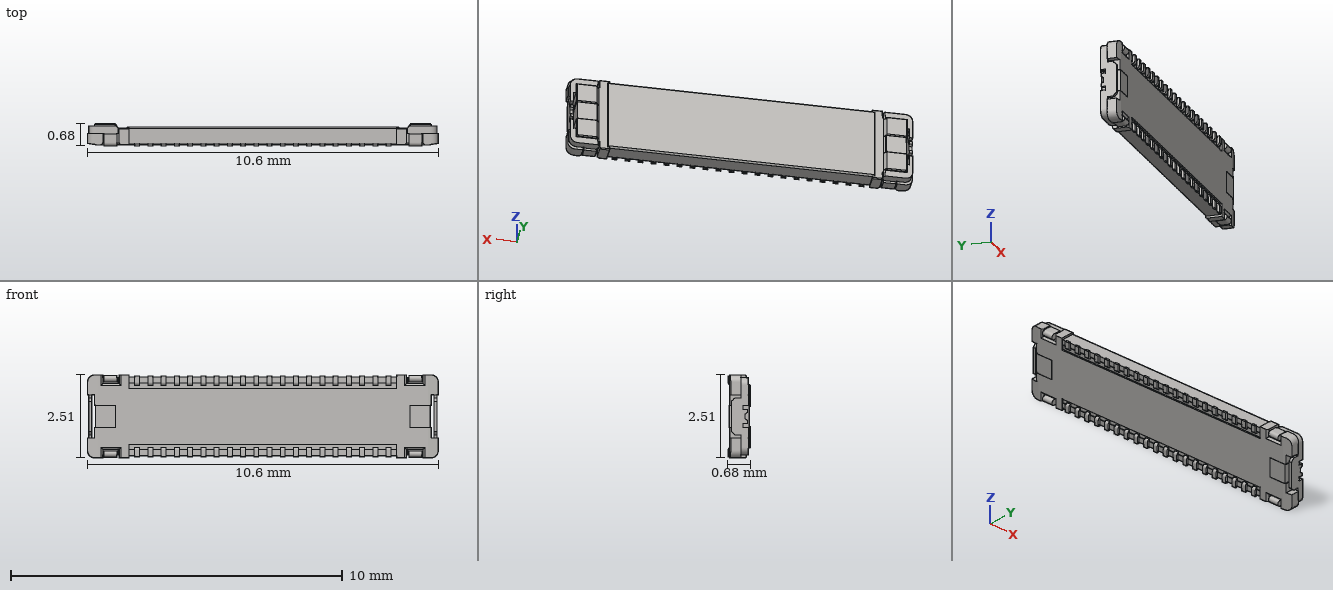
import cadquery as cq

LENGTH = 10.6
HEIGHT = 2.51
BACK_Y = 0.34
MOUNT_Y = -BACK_Y
HALF_LENGTH = LENGTH / 2
HALF_HEIGHT = HEIGHT / 2

FRONT_Y = -0.305
CORE_HALF_LENGTH = 4.14
CORE_BACK_Y = 0.24
CORE_CHAMFER = 0.05
SHOULDER_INNER_X = 4.04
SHOULDER_OUTER_X = 4.37
SHOULDER_BACK_Y = 0.21
SHOULDER_CHAMFER = 0.03
LEDGE_Y = 0.045
END_RADIUS = 0.22
SLOPE_START_X = 4.99
SLOPE_DROP = 0.045

RAIL_HALF_HEIGHT = 1.19
RAIL_INNER_Z = 1.006
RAIL_FRONT_Y = -0.27
GROOVE_INNER_Z = 0.847
GROOVE_FLOOR_Y = -0.25

CONTACTS_PER_ROW = 20
CONTACT_PITCH = 0.4
CONTACT_WIDTH = 0.15
CONTACT_INNER_Z = 0.936
CONTACT_OUTER_Z = 1.225
CONTACT_BACK_Y = -0.2
CONTACT_RADIUS = 0.09

STRIP_INSET = 0.035
STRIP_OUTER_X = HALF_LENGTH - STRIP_INSET
STRIP_THICKNESS = 0.1
FITTING_INNER_X = SHOULDER_OUTER_X
FITTING_HALF_HEIGHT = 1.168
FITTING_RADIUS = 0.225
FITTING_BACK_Y = 0.27
TONGUE_HALF_HEIGHT = 0.56
TONGUE_FRONT_Y = -0.245
TONGUE_CHAMFER = 0.11
PAD_OUTER_X = 5.09
PAD_INNER_X = 4.46
PAD_INNER_Z = 0.30
PAD_OUTER_Z = 0.958
PAD_CHAMFER = 0.03

NOTCH_DEEP_Y = 0.11
NOTCH_DEEP_INNER_Z = 0.21
NOTCH_SHELF_Y = 0.245
NOTCH_SHELF_INNER_Z = 0.12
NOTCH_DIP_Y = 0.175
NOTCH_DIP_HALF_HEIGHT = 0.07

SLOT_OUTER_X = STRIP_OUTER_X - STRIP_THICKNESS
SLOT_INNER_X = PAD_OUTER_X
SLOT_HALF_HEIGHT = 0.652

TAB_HALF_HEIGHT = 0.335
TAB_OUTER_X = 5.06
TAB_LENGTH = 0.61
TAB_RELIEF = 0.005
TAB_BACK_Y = 0.30

LEG_INNER_X = 4.41
LEG_OUTER_X = 4.80
LEG_INNER_Z = 1.04
LEG_THICKNESS = 0.2
LEG_SHOULDER_Y = 0.02
POCKET_INNER_X = 4.345
POCKET_OUTER_X = 4.83
POCKET_INNER_Z = 1.0
POCKET_CHAMFER = 0.065


def box(x0, x1, y0, y1, z0, z1):
    """Axis-aligned block between two corners."""
    size = (x1 - x0, y1 - y0, z1 - z0)
    return cq.Workplane("XY").box(*size, centered=False).translate((x0, y0, z0))


def band(x0, x1, y0, y1, half_height):
    """Block centred on Z = 0."""
    return box(x0, x1, y0, y1, -half_height, half_height)


def prism_along_z(points, half_height):
    """XY outline extruded symmetrically about Z = 0."""
    return cq.Workplane("XY").polyline(points).close().extrude(half_height, both=True)


def prism_along_x(points, x0, x1):
    """YZ outline extruded from x0 to x1."""
    return cq.Workplane("YZ").workplane(offset=x0).polyline(points).close().extrude(x1 - x0)


def with_mirror(shape, plane):
    return shape.union(shape.mirror(plane))


def make_core():
    """Contact section with a chamfered back and a stepped groove along each row."""
    core = band(-CORE_HALF_LENGTH, CORE_HALF_LENGTH, FRONT_Y, CORE_BACK_Y, RAIL_HALF_HEIGHT)
    core = core.faces(">Y").edges().chamfer(CORE_CHAMFER)
    x = SHOULDER_INNER_X
    rail_cut = box(-x, x, MOUNT_Y, RAIL_FRONT_Y, GROOVE_INNER_Z, HALF_HEIGHT)
    groove = box(-x, x, MOUNT_Y, GROOVE_FLOOR_Y, GROOVE_INNER_Z, RAIL_INNER_Z)
    return core.cut(with_mirror(rail_cut.union(groove), "XY"))


def make_contacts():
    """Two rows of solder feet, each rounded on its inner edge."""
    half_width = CONTACT_WIDTH / 2
    feet = band(-half_width, half_width, MOUNT_Y, RAIL_FRONT_Y, CONTACT_OUTER_Z)
    roots = band(-half_width, half_width, RAIL_FRONT_Y, CONTACT_BACK_Y, RAIL_HALF_HEIGHT)
    gap = band(-half_width, half_width, MOUNT_Y, CONTACT_BACK_Y, CONTACT_INNER_Z)
    feet = feet.union(roots).cut(gap)
    inner_edges = cq.selectors.BoxSelector(
        (-CONTACT_WIDTH, MOUNT_Y - CONTACT_RADIUS / 2, -CONTACT_INNER_Z - CONTACT_RADIUS / 2),
        (CONTACT_WIDTH, MOUNT_Y + CONTACT_RADIUS / 2, CONTACT_INNER_Z + CONTACT_RADIUS / 2),
    )
    feet = feet.edges("|X").edges(inner_edges).fillet(CONTACT_RADIUS)
    first_x = -CONTACT_PITCH * (CONTACTS_PER_ROW - 1) / 2
    positions = [(first_x + i * CONTACT_PITCH, 0, 0) for i in range(CONTACTS_PER_ROW)]
    return cq.Workplane("XY").pushPoints(positions).eachpoint(
        lambda place: feet.val().moved(place)
    )


def make_shoulder():
    """Full-height block next to the contact rows."""
    shoulder = band(SHOULDER_INNER_X, SHOULDER_OUTER_X, FRONT_Y, SHOULDER_BACK_Y, HALF_HEIGHT)
    return shoulder.faces(">Y").edges("|X").chamfer(SHOULDER_CHAMFER)


def make_end_block():
    """Rounded end of the housing with a front face that falls away to the end."""
    outline = [
        (SHOULDER_INNER_X, FRONT_Y),
        (SLOPE_START_X, FRONT_Y),
        (HALF_LENGTH, FRONT_Y + SLOPE_DROP),
        (HALF_LENGTH, LEDGE_Y),
        (SHOULDER_INNER_X, LEDGE_Y),
    ]
    block = prism_along_z(outline, HALF_HEIGHT)
    return block.faces(">X").edges("|Y").fillet(END_RADIUS)


def make_pockets():
    """Cutters for the clearance around the solder legs, flared at the front."""
    well = box(POCKET_INNER_X, POCKET_OUTER_X, FRONT_Y, SHOULDER_BACK_Y, POCKET_INNER_Z, HALF_HEIGHT)
    reach = HALF_HEIGHT - POCKET_INNER_Z
    width = POCKET_OUTER_X - POCKET_INNER_X
    flare = (
        cq.Workplane("XZ", origin=((POCKET_INNER_X + POCKET_OUTER_X) / 2, FRONT_Y, HALF_HEIGHT))
        .rect(width + 2 * POCKET_CHAMFER, 2 * (reach + POCKET_CHAMFER))
        .workplane(offset=-POCKET_CHAMFER)
        .rect(width, 2 * reach)
        .loft()
    )
    return with_mirror(well.union(flare), "XY")


def make_legs():
    """Pair of solder legs with fully rounded tips."""
    leg = box(
        LEG_INNER_X, LEG_OUTER_X, MOUNT_Y, FITTING_BACK_Y, LEG_INNER_Z, LEG_INNER_Z + LEG_THICKNESS
    )
    tip_radius = LEG_THICKNESS / 2
    tip_z = LEG_INNER_Z + tip_radius
    tip_y = MOUNT_Y + tip_radius
    leg = leg.cut(box(LEG_INNER_X, LEG_OUTER_X, MOUNT_Y, tip_y, LEG_INNER_Z, HALF_HEIGHT))
    tip = (
        cq.Workplane("YZ", origin=(LEG_INNER_X, tip_y, tip_z))
        .circle(tip_radius)
        .extrude(LEG_OUTER_X - LEG_INNER_X)
    )
    step = box(
        LEG_INNER_X, LEG_OUTER_X, LEG_SHOULDER_Y, FITTING_BACK_Y, FITTING_HALF_HEIGHT, HALF_HEIGHT
    )
    return with_mirror(leg.union(tip).cut(step), "XY")


def make_pads():
    """Raised metal pads on the back, ramped down at their inner ends."""
    pad = box(PAD_INNER_X, PAD_OUTER_X, LEDGE_Y, BACK_Y, PAD_INNER_Z, PAD_OUTER_Z)
    pad = pad.faces(">Y").edges("|Z and >X or |X").chamfer(PAD_CHAMFER)
    ramp = [
        (FITTING_INNER_X, LEDGE_Y),
        (PAD_INNER_X, LEDGE_Y),
        (PAD_INNER_X, BACK_Y),
        (FITTING_INNER_X, SHOULDER_BACK_Y),
    ]
    ramp_gap = band(FITTING_INNER_X, PAD_INNER_X, LEDGE_Y, BACK_Y, PAD_INNER_Z)
    ramps = prism_along_z(ramp, PAD_OUTER_Z - PAD_CHAMFER).cut(ramp_gap)
    return with_mirror(pad, "XY").union(ramps)


def make_fitting():
    """Rounded metal frame on the back of the end block."""
    frame = band(FITTING_INNER_X, STRIP_OUTER_X, LEDGE_Y, FITTING_BACK_Y, FITTING_HALF_HEIGHT)
    frame = frame.faces(">X").edges("|Y").fillet(FITTING_RADIUS)
    drop = FITTING_BACK_Y - SHOULDER_BACK_Y
    return frame.faces("<X").edges(">Y").chamfer(drop, drop)


def make_slot():
    """Cutter for the gap behind the strip, narrower beside the anchor tab."""
    through = (MOUNT_Y, BACK_Y)
    slot = band(SLOT_INNER_X, SLOT_OUTER_X, *through, SLOT_HALF_HEIGHT)
    return slot.union(band(TAB_OUTER_X, SLOT_OUTER_X, *through, TAB_HALF_HEIGHT))


def make_strip_notch():
    """Cutter for the stepped notch in the back edge of the strip."""
    half_outline = [
        (BACK_Y, TAB_HALF_HEIGHT),
        (NOTCH_DEEP_Y, TAB_HALF_HEIGHT),
        (NOTCH_DEEP_Y, NOTCH_DEEP_INNER_Z),
        (NOTCH_SHELF_Y, NOTCH_DEEP_INNER_Z),
        (NOTCH_SHELF_Y, NOTCH_SHELF_INNER_Z),
        (NOTCH_DIP_Y, NOTCH_DIP_HALF_HEIGHT),
    ]
    other_half = [(y, -z) for y, z in reversed(half_outline)]
    return prism_along_x(half_outline + other_half, SLOT_OUTER_X, HALF_LENGTH)


def make_tongue():
    """Lower part of the strip, bridging the recess in the end block."""
    tongue = band(SLOT_OUTER_X, STRIP_OUTER_X, TONGUE_FRONT_Y, FITTING_BACK_Y, TONGUE_HALF_HEIGHT)
    return tongue.faces("<Y").edges("|X").chamfer(TONGUE_CHAMFER)


def make_anchor_tab():
    """Rectangular tab that stands slightly proud of the front face."""
    inner_x = TAB_OUTER_X - TAB_LENGTH
    return band(inner_x, TAB_OUTER_X, FRONT_Y - TAB_RELIEF, TAB_BACK_Y, TAB_HALF_HEIGHT)


def make_end():
    """Complete +X end: housing block, fitting, strip, anchor tab and legs."""
    recess = band(SLOT_OUTER_X, HALF_LENGTH, MOUNT_Y, LEDGE_Y, SLOT_HALF_HEIGHT)
    end = make_end_block().union(make_shoulder()).cut(make_pockets()).cut(recess)
    end = end.union(make_fitting()).union(make_pads())
    end = end.cut(make_slot())
    end = end.union(make_tongue().cut(make_slot())).cut(make_strip_notch())
    return end.union(make_anchor_tab()).union(make_legs())


end = make_end()
result = make_core().union(make_contacts()).union(end).union(end.mirror("YZ"))